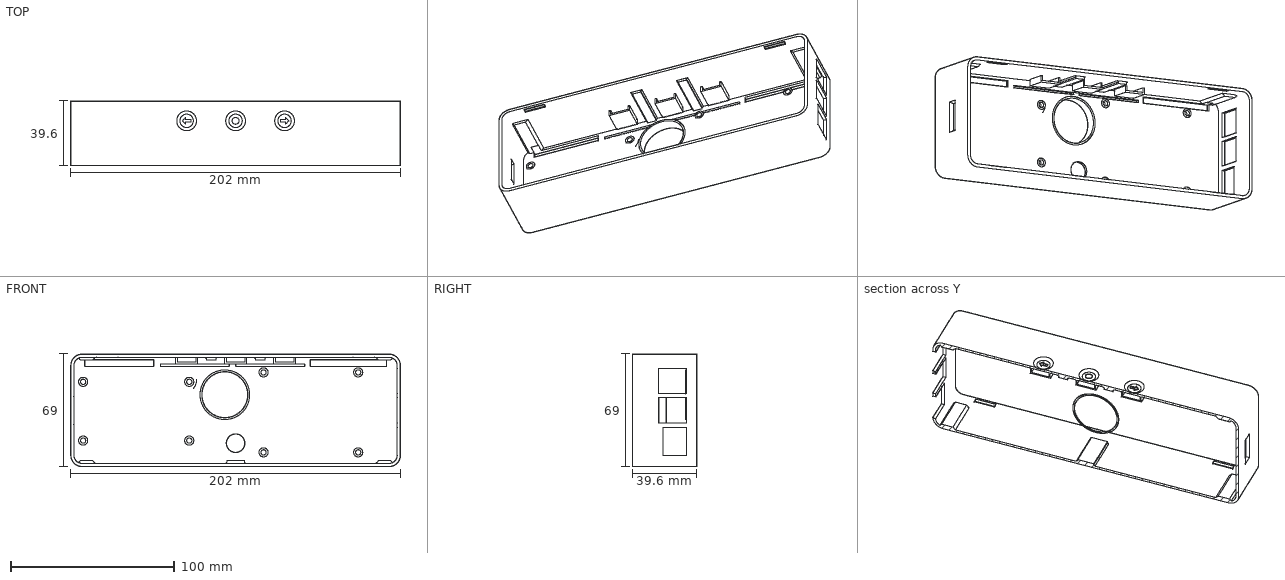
import cadquery as cq

LENGTH, DEPTH, HEIGHT = 202.0, 39.6, 69.0
WALL = 2.0
CORNER_RADIUS = 7.0

FRONT_Y = -DEPTH / 2
BACK_Y = DEPTH / 2
BACK_INNER_Y = BACK_Y - WALL
SIDE_INNER_X = LENGTH / 2 - WALL
CEILING_Z = HEIGHT / 2 - WALL
FLOOR_Z = -CEILING_Z

RAIL_FRONT_Y = -9.4
RAIL_HEIGHT = 1.7
CORNER_RAIL_X = 91.3
CORNER_RAIL_WIDTH = 10.8
CENTER_RAIL_WIDTH = 12.4
SMALL_RAIL_X = 15.0
SMALL_RAIL_WIDTH = 7.4
RAIL_FOOT = 0.8

GROOVE_X = 78.6
GROOVE_LENGTH = 13.2
GROOVE_BACK_Y = -15.9
GROOVE_WIDTH = 2.6
GROOVE_FLOOR_WIDTH = 1.4
GROOVE_DEPTH = 0.8

BUTTON_PITCH = 30.0
BUTTON_Y = 7.7
DISH_DIAMETER = 12.1
DISH_FLOOR_DIAMETER = 8.2
DISH_DEPTH = 1.2
MARK_HEIGHT = 0.4
ROUND_MARK_DIAMETER = 4.2
ARROW_LENGTH = 5.2
ARROW_HEAD_LENGTH = 2.0
ARROW_HEAD_WIDTH = 4.0
ARROW_SHAFT_WIDTH = 1.6
HOLDER_SIZE = 13.4
HOLDER_HEIGHT = 4.1
HOLDER_POCKET_WIDTH = 11.4
HOLDER_POCKET_HEIGHT = 2.9

SLOT_BOTTOM_Z = 27.0
WIDE_SLOT_TOP_Z = 30.9
NARROW_SLOT_TOP_Z = CEILING_Z - HOLDER_HEIGHT
BACK_SLOTS = [
    (-92.3, -50.2, WIDE_SLOT_TOP_Z),
    (-46.0, -4.0, NARROW_SLOT_TOP_Z),
    (0.2, 42.3, NARROW_SLOT_TOP_Z),
    (45.8, 92.3, WIDE_SLOT_TOP_Z),
]

RING_X, RING_Z = -6.6, 9.6
RING_HOLE_DIAMETER = 28.0
RING_DIAMETER = 30.4
RING_HEIGHT = 5.0
RING_FILLET = 4.8
CABLE_HOLE_X, CABLE_HOLE_Z = 0.0, -20.1
CABLE_HOLE_DIAMETER = 11.2

BOSS_PATTERNS = [
    (-60.9, -0.5, 65.0, 36.0),
    (46.1, -1.2, 58.0, 49.0),
]
BOSS_DIAMETER = 5.6
BOSS_HEIGHT = 3.0
BOSS_FILLET = 2.25
BOSS_HOLE_DIAMETER = 3.2

SIDE_SLOT_Y, SIDE_SLOT_Z = -1.2, -0.1
SIDE_SLOT_OUTER = (6.8, 19.0)
SIDE_SLOT_INNER = (4.2, 16.8)

WINDOWS = [
    (-1.1, 13.4, -27.5, -10.4),
    (-3.6, 13.4, -7.6, 7.8),
    (-3.6, 13.4, 10.2, 25.6),
]


def box_between(x_range, y_range, z_range):
    """Box spanning the given (low, high) ranges."""
    lows, highs = zip(x_range, y_range, z_range)
    sizes = [high - low for low, high in zip(lows, highs)]
    return cq.Workplane("XY").box(*sizes, centered=False).translate(lows)


def y_cylinder(x, z, diameter, y_start, y_end):
    """Cylinder along Y."""
    return (
        cq.Workplane("XZ", origin=(x, y_start, z))
        .circle(diameter / 2)
        .extrude(y_start - y_end)
    )


def rounded_block(length, height, radius, y_start, y_end):
    """Block along Y with rounded long edges."""
    return (
        cq.Workplane("XZ", origin=(0, y_start, 0))
        .rect(length, height)
        .extrude(y_start - y_end)
        .edges("|Y")
        .fillet(radius)
    )


def cavity():
    inner_length = LENGTH - 2 * WALL
    inner_height = HEIGHT - 2 * WALL
    return rounded_block(inner_length, inner_height, CORNER_RADIUS - WALL, FRONT_Y, BACK_INNER_Y)


def flared_boss(x, z, diameter, height, fillet):
    """Boss on the back wall, blended into it by a concave fillet."""
    radius = diameter / 2
    fillet_offset = fillet * (1 - 0.5 ** 0.5)
    profile = (
        cq.Workplane("XY")
        .moveTo(0, 0)
        .lineTo(radius + fillet, 0)
        .threePointArc((radius + fillet_offset, -fillet_offset), (radius, -fillet))
        .lineTo(radius, -height)
        .lineTo(0, -height)
        .close()
    )
    return profile.revolve(360, (0, 0, 0), (0, 1, 0)).translate((x, BACK_INNER_Y, z))


def rail(x, wall_z, width, foot):
    """Rail along Y on the floor or ceiling, with a 45 degree foot on each side."""
    direction = 1 if wall_z < 0 else -1
    root_z = wall_z - direction * WALL / 2
    foot_z = wall_z + direction * foot
    top_z = wall_z + direction * RAIL_HEIGHT
    base = width / 2
    crest = base - foot
    outline = [(-base, root_z), (-base, wall_z), (-crest, foot_z)]
    if foot < RAIL_HEIGHT:
        outline += [(-crest, top_z), (crest, top_z)]
    outline += [(crest, foot_z), (base, wall_z), (base, root_z)]
    length = BACK_INNER_Y + WALL / 2 - RAIL_FRONT_Y
    return cq.Workplane("XZ", origin=(x, RAIL_FRONT_Y, 0)).polyline(outline).close().extrude(-length)


def rails():
    parts = rail(0, FLOOR_Z, CENTER_RAIL_WIDTH, RAIL_FOOT)
    for side in (-1, 1):
        parts = parts.union(rail(side * SMALL_RAIL_X, CEILING_Z, SMALL_RAIL_WIDTH, RAIL_FOOT))
        for wall_z in (FLOOR_Z, CEILING_Z):
            parts = parts.union(rail(side * CORNER_RAIL_X, wall_z, CORNER_RAIL_WIDTH, RAIL_HEIGHT))
    return parts


def switch_holder(x):
    """Square holder under the ceiling with a pocket open towards the front."""
    front_y = BUTTON_Y - HOLDER_SIZE / 2
    back_y = BUTTON_Y + HOLDER_SIZE / 2
    side_wall = (HOLDER_SIZE - HOLDER_POCKET_WIDTH) / 2
    half_size = HOLDER_SIZE / 2
    half_pocket = HOLDER_POCKET_WIDTH / 2
    block = box_between(
        (x - half_size, x + half_size),
        (front_y, back_y),
        (CEILING_Z - HOLDER_HEIGHT, CEILING_Z + WALL / 2),
    )
    pocket = box_between(
        (x - half_pocket, x + half_pocket),
        (front_y, back_y - side_wall),
        (CEILING_Z - HOLDER_POCKET_HEIGHT, CEILING_Z),
    )
    return block, pocket


def button_dish(x):
    """Conical dish in the top face."""
    return (
        cq.Workplane("XY", origin=(x, BUTTON_Y, HEIGHT / 2))
        .circle(DISH_DIAMETER / 2)
        .workplane(offset=-DISH_DEPTH)
        .circle(DISH_FLOOR_DIAMETER / 2)
        .loft(combine=True)
    )


def button_mark(side):
    """Raised mark on a dish floor: a disc at the middle, outward arrows (side -1 or 1) beside it."""
    plane = cq.Workplane("XY", origin=(side * BUTTON_PITCH, BUTTON_Y, HEIGHT / 2 - DISH_DEPTH))
    if side == 0:
        return plane.circle(ROUND_MARK_DIAMETER / 2).extrude(MARK_HEIGHT)
    tip = side * ARROW_LENGTH / 2
    neck = tip - side * ARROW_HEAD_LENGTH
    half_shaft = ARROW_SHAFT_WIDTH / 2
    half_head = ARROW_HEAD_WIDTH / 2
    return (
        plane.polyline([(-tip, half_shaft), (neck, half_shaft), (neck, half_head), (tip, 0),
                        (neck, -half_head), (neck, -half_shaft), (-tip, -half_shaft)])
        .close()
        .extrude(MARK_HEIGHT)
    )


def snap_groove(x, wall_z):
    """Groove along X in the floor or ceiling: upright back, flat bottom, sloping front."""
    bottom_z = wall_z + (GROOVE_DEPTH if wall_z > 0 else -GROOVE_DEPTH)
    return (
        cq.Workplane("YZ", origin=(x - GROOVE_LENGTH / 2, GROOVE_BACK_Y, 0))
        .polyline([(0, wall_z), (0, bottom_z), (-GROOVE_FLOOR_WIDTH, bottom_z), (-GROOVE_WIDTH, wall_z)])
        .close()
        .extrude(GROOVE_LENGTH)
    )


def side_slot():
    """Slot through the -X wall, narrowing inwards."""
    return (
        cq.Workplane("YZ", origin=(-LENGTH / 2, SIDE_SLOT_Y, SIDE_SLOT_Z))
        .rect(*SIDE_SLOT_OUTER)
        .workplane(offset=WALL)
        .rect(*SIDE_SLOT_INNER)
        .loft(combine=True)
    )


def boss_positions():
    for center_x, center_z, pitch_x, pitch_z in BOSS_PATTERNS:
        for side_x in (-0.5, 0.5):
            for side_z in (-0.5, 0.5):
                yield center_x + side_x * pitch_x, center_z + side_z * pitch_z


def slot_cutters():
    """Boxes of the back wall slots, long enough to trim the bosses in front of the wall too."""
    y_range = (BACK_INNER_Y - RING_HEIGHT, BACK_Y)
    for left, right, top in BACK_SLOTS:
        yield box_between((left, right), y_range, (SLOT_BOTTOM_Z, top))


def flared_ring():
    """Large ring boss, cut off level with the top of the narrow slots."""
    ring = flared_boss(RING_X, RING_Z, RING_DIAMETER, RING_HEIGHT, RING_FILLET)
    limit = box_between(
        (-SIDE_INNER_X, SIDE_INNER_X),
        (BACK_INNER_Y - RING_HEIGHT, BACK_INNER_Y),
        (FLOOR_Z, NARROW_SLOT_TOP_Z),
    )
    return ring.intersect(limit)


outer = rounded_block(LENGTH, HEIGHT, CORNER_RADIUS, FRONT_Y, BACK_Y)
case = outer.cut(cavity())
case = case.union(rails().intersect(outer))
for y_min, y_max, z_min, z_max in WINDOWS:
    case = case.cut(box_between((SIDE_INNER_X, LENGTH / 2), (y_min, y_max), (z_min, z_max)))
case = case.cut(side_slot())
for groove_x in (-GROOVE_X, GROOVE_X):
    for groove_z in (FLOOR_Z, CEILING_Z):
        case = case.cut(snap_groove(groove_x, groove_z))

bosses = flared_ring()
for boss_x, boss_z in boss_positions():
    bosses = bosses.union(flared_boss(boss_x, boss_z, BOSS_DIAMETER, BOSS_HEIGHT, BOSS_FILLET))
for slot_cutter in slot_cutters():
    bosses = bosses.cut(slot_cutter)
    case = case.cut(slot_cutter)
case = case.union(bosses)

boss_front_y = BACK_INNER_Y - BOSS_HEIGHT
for boss_x, boss_z in boss_positions():
    case = case.cut(y_cylinder(boss_x, boss_z, BOSS_HOLE_DIAMETER, boss_front_y, BACK_INNER_Y))
ring_front_y = BACK_INNER_Y - RING_HEIGHT
case = case.cut(y_cylinder(RING_X, RING_Z, RING_HOLE_DIAMETER, ring_front_y, BACK_Y))
case = case.cut(y_cylinder(CABLE_HOLE_X, CABLE_HOLE_Z, CABLE_HOLE_DIAMETER, BACK_INNER_Y, BACK_Y))

for button_side in (-1, 0, 1):
    button_x = button_side * BUTTON_PITCH
    holder, holder_pocket = switch_holder(button_x)
    case = case.union(holder).cut(holder_pocket)
    case = case.cut(button_dish(button_x)).union(button_mark(button_side))

result = case